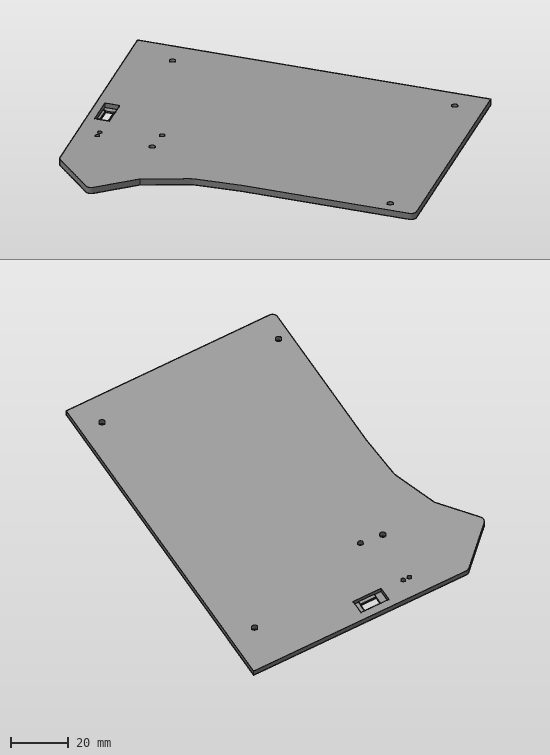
import cadquery as cq

length = 129.5
back_edge_y = 102.1
thickness = 2.5

straight_edge_y = 18.1
left_corner_y = 15.7
tip = (16.0, -0.6)
lower_bend = (31.1, 11.1)
upper_bend = (48.5, 17.1)
straight_edge_start_x = 66.0
corner_radius = 2.1
bend_radius = 8.0

mounting_hole_diameter = 2.2
mounting_holes = [(16.0, 92.4), (119.0, 93.8), (119.0, 22.7), (28.1, 33.7)]
locating_hole_diameter = 2.0
locating_hole = (28.9, 42.2)
pin_hole_diameter = 1.5
pin_hole_x = 7.6
pin_hole_y = 36.1
pin_hole_pitch = 2.5

pocket_x = (3.0, 8.4)
pocket_y = (45.9, 57.1)
window_x = (4.0, 7.1)
window_y = (48.6, 54.9)
end_depth = 1.8
ledge_depth = 1.5


def pocket(x_range, y_range, depth):
    """Rectangular cutter reaching down from the top face."""
    size_x = x_range[1] - x_range[0]
    size_y = y_range[1] - y_range[0]
    return (
        cq.Workplane("XY", origin=(x_range[0], y_range[0], thickness - depth))
        .box(size_x, size_y, depth, centered=False)
    )


def round_corner(plate, corner, radius):
    """Round the vertical edge that stands at the given corner."""
    edge = cq.selectors.NearestToPointSelector((*corner, thickness / 2))
    return plate.edges("|Z").edges(edge).fillet(radius)


def make_plate():
    left_corner = (0, left_corner_y)
    right_corner = (length, straight_edge_y)
    outline = [
        (0, back_edge_y),
        left_corner,
        tip,
        lower_bend,
        upper_bend,
        (straight_edge_start_x, straight_edge_y),
        right_corner,
        (length, back_edge_y),
    ]
    plate = cq.Workplane("XY").polyline(outline).close().extrude(thickness)
    for corner in (left_corner, tip, right_corner):
        plate = round_corner(plate, corner, corner_radius)
    return round_corner(plate, upper_bend, bend_radius)


def holes(centres, diameter):
    return cq.Workplane("XY").pushPoints(centres).circle(diameter / 2).extrude(thickness)


pin_holes = [(pin_hole_x, pin_hole_y - i * pin_hole_pitch) for i in (-0.5, 0.5)]

result = (
    make_plate()
    .cut(holes(mounting_holes, mounting_hole_diameter))
    .cut(holes([locating_hole], locating_hole_diameter))
    .cut(holes(pin_holes, pin_hole_diameter))
    .cut(pocket(pocket_x, pocket_y, ledge_depth))
    .cut(pocket(pocket_x, (pocket_y[0], window_y[0]), end_depth))
    .cut(pocket(pocket_x, (window_y[1], pocket_y[1]), end_depth))
    .cut(pocket(window_x, window_y, thickness))
)